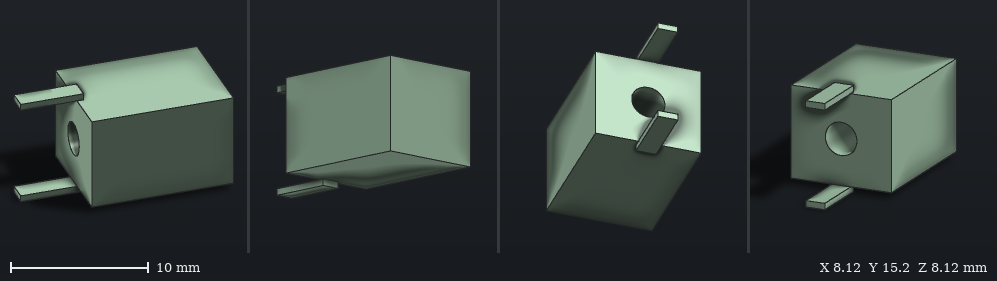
import cadquery as cq

total_length = 15.24
body_width = 8.12
total_height = 8.12

leg_thickness = 0.5
leg_width = 1.54
leg_length = 4.83
leg_overlap = 0.5

hole_diameter = 2.55

body_height = total_height - 2 * leg_thickness
body_front = leg_length - leg_overlap
body_length = total_length - body_front
hole_depth = body_length / 2


def make_body():
    """Rectangular block with its front face at body_front."""
    block = cq.Workplane("XY").box(body_width, body_length, body_height, centered=(True, False, True))
    return block.translate((0, body_front, 0))


def make_hole():
    """Cylinder running from the front face into the body."""
    front_plane = cq.Workplane("XZ", origin=(0, body_front, 0))
    return front_plane.circle(hole_diameter / 2).extrude(-hole_depth)


def make_leg(side):
    """Flat leg on the top (side = 1) or bottom (side = -1) of the body."""
    leg = cq.Workplane("XY").box(leg_width, leg_length, leg_thickness, centered=(True, False, True))
    return leg.translate((0, 0, side * (body_height + leg_thickness) / 2))


result = make_body().cut(make_hole())
for side in (1, -1):
    result = result.union(make_leg(side))